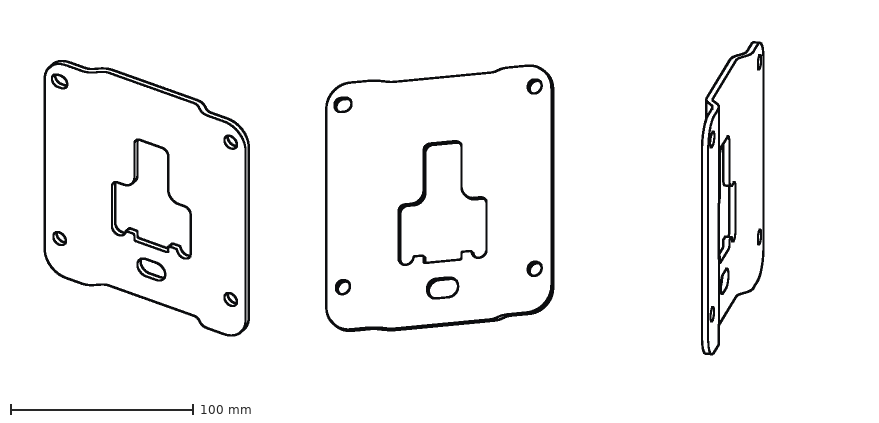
import cadquery as cq
import math

width = 130.5
height = 141.0
depth = 9.9
thickness = 3.5
corner_radius = 14.0

panel_half_width = 27.4
bend_angle = math.radians(41)
bend_inner_radius = 6.8
bend_outer_radius = bend_inner_radius + thickness

hole_diameter = 8.0
hole_x = 55.6
upper_hole_z = 58.3
lower_hole_z = -46.0
adjusting_slot_length = 9.9

neck_half_width = 11.0
neck_top_z = 33.3
window_half_width = 25.5
window_top_z = -0.1
window_corner_radius = 4.0
throat_radius = 6.9
window_bottom_z = -34.7
lobe_radius = 4.4
tab_corner_radius = 1.0

centre_slot_length = 18.0
centre_slot_height = 11.3
centre_slot_z = -50.0


def bend_points(centre_x, centre_y, radius, start_angle, end_angle):
    """Middle and end point of an arc; angles are measured from +X in the XY plane."""
    return [
        (centre_x + radius * math.cos(angle), centre_y + radius * math.sin(angle))
        for angle in ((start_angle + end_angle) / 2, end_angle)
    ]


def formed_sheet():
    """Extrude half of the joggled section over the height and mirror it."""
    step = depth - thickness
    radius_sum = bend_inner_radius + bend_outer_radius
    bend_rise = radius_sum * (1 - math.cos(bend_angle))
    web_length = (step - bend_rise) / math.sin(bend_angle)
    bend_run = radius_sum * math.sin(bend_angle) + web_length * math.cos(bend_angle)
    flange_start_x = panel_half_width + bend_run

    panel_centre = (panel_half_width, step - bend_inner_radius)
    flange_centre = (flange_start_x, bend_outer_radius)
    up = math.pi / 2
    down = -math.pi / 2

    half = (
        cq.Workplane("XY", origin=(0, 0, -height / 2))
        .moveTo(0, step)
        .lineTo(panel_half_width, step)
        .threePointArc(*bend_points(*panel_centre, bend_inner_radius, up, up - bend_angle))
        .lineTo(*bend_points(*flange_centre, bend_outer_radius, down, down - bend_angle)[1])
        .threePointArc(*bend_points(*flange_centre, bend_outer_radius, down - bend_angle, down))
        .lineTo(width / 2, 0)
        .lineTo(width / 2, thickness)
        .lineTo(flange_start_x, thickness)
        .threePointArc(*bend_points(*flange_centre, bend_inner_radius, down, down - bend_angle))
        .lineTo(*bend_points(*panel_centre, bend_outer_radius, up, up - bend_angle)[1])
        .threePointArc(*bend_points(*panel_centre, bend_outer_radius, up - bend_angle, up))
        .lineTo(0, depth)
        .close()
        .extrude(height)
    )
    sheet = half.union(half.mirror("YZ"))
    return sheet.edges("|Y").edges("<X or >X").fillet(corner_radius)


def through_sketch():
    """Sketch plane on the front whose negative normal points through the sheet."""
    return cq.Workplane("XZ")


def block(x_min, x_max, z_min, z_max):
    return (
        through_sketch()
        .center((x_min + x_max) / 2, (z_min + z_max) / 2)
        .rect(x_max - x_min, z_max - z_min)
        .extrude(-depth)
    )


def slot(x, z, length, slot_height):
    return through_sketch().center(x, z).slot2D(length, slot_height).extrude(-depth)


def round_corners(body, x, z, radius):
    """Fillet the pair of through edges at (+x, z) and (-x, z)."""
    for side in (-1, 1):
        nearest = cq.selectors.NearestToPointSelector((side * x, depth / 2, z))
        body = body.edges("|Y").edges(nearest).fillet(radius)
    return body


def window():
    """Neck over a wide opening, with two tabs between the lobes and the neck foot."""
    lobe_x = window_half_width - lobe_radius
    tab_outer_x = lobe_x - lobe_radius
    tab_top_z = window_bottom_z + lobe_radius

    body = block(-window_half_width, window_half_width, tab_top_z, window_top_z)
    body = body.union(block(-neck_half_width, neck_half_width, window_bottom_z, neck_top_z))
    lobes = (
        through_sketch()
        .pushPoints([(-lobe_x, tab_top_z), (lobe_x, tab_top_z)])
        .circle(lobe_radius)
        .extrude(-depth)
    )
    body = round_corners(body, neck_half_width, neck_top_z, window_corner_radius)
    body = round_corners(body, neck_half_width, window_top_z, throat_radius)
    body = round_corners(body, window_half_width, window_top_z, window_corner_radius)
    body = round_corners(body, neck_half_width, window_bottom_z, tab_corner_radius)
    body = round_corners(body, neck_half_width, tab_top_z, tab_corner_radius)
    body = body.union(lobes)
    return round_corners(body, tab_outer_x, tab_top_z, tab_corner_radius)


def mounting_holes():
    """Three round holes and one adjusting slot at the upper -X corner."""
    round_holes = [(hole_x, upper_hole_z), (hole_x, lower_hole_z), (-hole_x, lower_hole_z)]
    holes = through_sketch().pushPoints(round_holes).circle(hole_diameter / 2).extrude(-depth)
    return holes.add(slot(-hole_x, upper_hole_z, adjusting_slot_length, hole_diameter)).combine()


result = (
    formed_sheet()
    .cut(window())
    .cut(mounting_holes())
    .cut(slot(0, centre_slot_z, centre_slot_length, centre_slot_height))
)